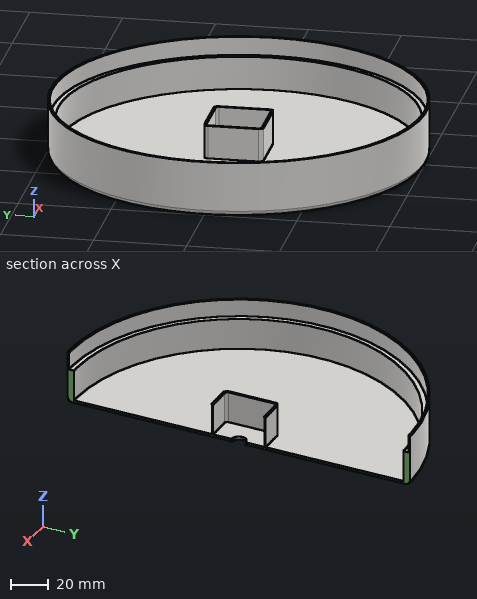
import cadquery as cq

outer_diameter = 202.0
height = 30.0
rim_wall = 1.0
lower_wall = 4.0
lip_depth = 10.0
floor_thickness = 1.8
bottom_fillet = 3.0

socket_side = 32.0
socket_wall = 1.0
socket_height = height - lip_depth - floor_thickness
socket_corner_radius = 2.5
socket_inner_side = socket_side - 2 * socket_wall
socket_inner_radius = socket_corner_radius - socket_wall

hole_diameter = 8.0


def make_tray():
    """Cup with a rounded bottom edge and a thinner wall above an inner ledge."""
    ledge_height = height - lip_depth
    body = cq.Workplane("XY").circle(outer_diameter / 2).extrude(height)
    body = body.faces("<Z").edges().fillet(bottom_fillet)
    cavity = (
        cq.Workplane("XY", origin=(0, 0, floor_thickness))
        .circle(outer_diameter / 2 - lower_wall)
        .extrude(height - floor_thickness)
    )
    lip_recess = (
        cq.Workplane("XY", origin=(0, 0, ledge_height))
        .circle(outer_diameter / 2 - rim_wall)
        .extrude(lip_depth)
    )
    return body.cut(cavity).cut(lip_recess)


def rounded_square(side, corner_radius):
    """Upright square prism with rounded corners, based on the tray floor."""
    return (
        cq.Workplane("XY", origin=(0, 0, floor_thickness))
        .rect(side, side)
        .extrude(socket_height)
        .edges("|Z")
        .fillet(corner_radius)
    )


def make_socket():
    """Open square tube with rounded corners."""
    outside = rounded_square(socket_side, socket_corner_radius)
    inside = rounded_square(socket_inner_side, socket_inner_radius)
    return outside.cut(inside)


center_hole = cq.Workplane("XY").circle(hole_diameter / 2).extrude(floor_thickness)

result = make_tray().union(make_socket()).cut(center_hole)